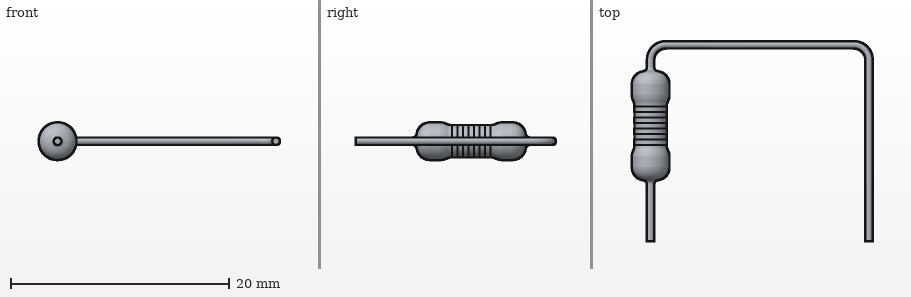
import cadquery as cq
import math

end_cap_radius = 3.5 / 2
barrel_radius = 2.98 / 2
band_radius = 3.0 / 2
lead_radius = 0.7 / 2

cap_inner = 2.83
cap_outer = 3.78
shoulder_join = 2.28

dome_radius = 1.24
neck_fillet = 0.35
shoulder_radius = 1.2

band_width = 0.5
band_pitch = 2 * band_width
band_count = 4
outer_band_y = band_pitch * (band_count - 1) / 2

lead_spacing = 20.0
bend_radius = 1.4
lead_end_y = -10.59
overall_depth = 18.35
lead_top_y = lead_end_y + overall_depth - lead_radius


def arc_point(center, radius, angle):
    """Point on a circle given in (radial, axial) coordinates."""
    return (center[0] + radius * math.cos(angle), center[1] + radius * math.sin(angle))


def make_body_end():
    """One end of the body, from under the outermost band to the neck where the lead emerges."""
    dome_center = (end_cap_radius - dome_radius, cap_outer)
    neck_center_radial = lead_radius + neck_fillet
    center_gap = dome_radius + neck_fillet
    dome_angle = math.acos((neck_center_radial - dome_center[0]) / center_gap)
    neck_center = (neck_center_radial, cap_outer + center_gap * math.sin(dome_angle))
    neck_start_angle = dome_angle + math.pi

    shoulder_angle = math.asin((cap_inner - shoulder_join) / shoulder_radius)
    shoulder_center = (end_cap_radius - shoulder_radius, cap_inner)
    join = arc_point(shoulder_center, shoulder_radius, -shoulder_angle)
    concave_radius = (join[0] - barrel_radius) / (1 - math.cos(shoulder_angle))
    barrel_end = shoulder_join - concave_radius * math.sin(shoulder_angle)
    concave_center = (barrel_radius + concave_radius, barrel_end)

    profile = (
        cq.Workplane("XY")
        .moveTo(0, outer_band_y)
        .lineTo(barrel_radius, outer_band_y)
        .lineTo(barrel_radius, barrel_end)
        .threePointArc(arc_point(concave_center, concave_radius, math.pi - shoulder_angle / 2), join)
        .threePointArc(
            arc_point(shoulder_center, shoulder_radius, -shoulder_angle / 2),
            (end_cap_radius, cap_inner),
        )
        .lineTo(end_cap_radius, cap_outer)
        .threePointArc(
            arc_point(dome_center, dome_radius, dome_angle / 2),
            arc_point(dome_center, dome_radius, dome_angle),
        )
        .threePointArc(
            arc_point(neck_center, neck_fillet, (neck_start_angle + math.pi) / 2),
            (lead_radius, neck_center[1]),
        )
        .lineTo(0, neck_center[1])
        .close()
    )
    return profile.revolve(360, (0, 0), (0, 1))


def make_disc(radius, width, center_y):
    """Solid cylinder along the body axis, used for the barrel and its raised bands."""
    return (
        cq.Workplane("XZ", origin=(0, center_y + width / 2, 0))
        .circle(radius)
        .extrude(width)
    )


def make_lead():
    """One round wire through the body, bent twice to run back parallel to it."""
    bend_offset = bend_radius * (1 - math.sqrt(0.5))
    path = (
        cq.Workplane("XY")
        .moveTo(0, lead_end_y)
        .lineTo(0, lead_top_y - bend_radius)
        .threePointArc((bend_offset, lead_top_y - bend_offset), (bend_radius, lead_top_y))
        .lineTo(lead_spacing - bend_radius, lead_top_y)
        .threePointArc(
            (lead_spacing - bend_offset, lead_top_y - bend_offset),
            (lead_spacing, lead_top_y - bend_radius),
        )
        .lineTo(lead_spacing, lead_end_y)
    )
    return cq.Workplane("XZ", origin=(0, lead_end_y, 0)).circle(lead_radius).sweep(path)


body_end = make_body_end()
result = make_disc(barrel_radius, 2 * outer_band_y, 0)
result = result.union(body_end).union(body_end.mirror("XZ"))
for index in range(band_count):
    result = result.union(make_disc(band_radius, band_width, index * band_pitch - outer_band_y))
result = result.union(make_lead())